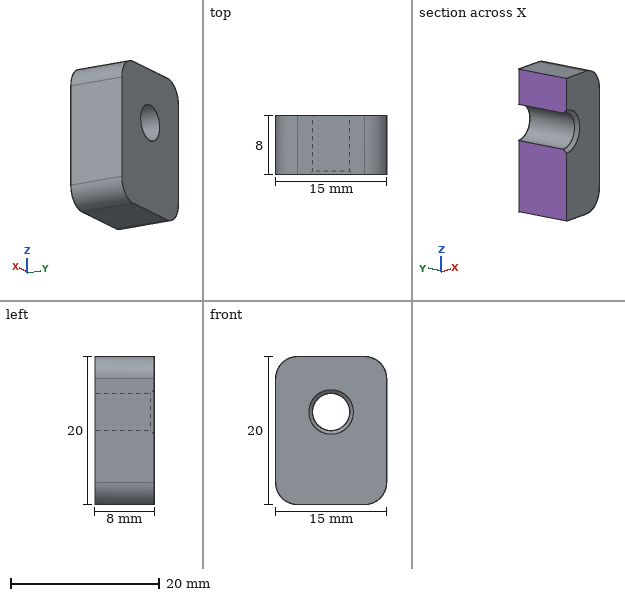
import cadquery as cq

width = 15.0
thickness = 8.0
height = 20.0
corner_radius = 3.0

hole_radius = 2.5
hole_chamfer = 0.5
hole_height = height - width / 2

front_y = -thickness / 2


def make_block():
    """Block with its four Y-direction edges rounded, standing on Z = 0."""
    block = cq.Workplane("XY").box(width, thickness, height, centered=(True, True, False))
    return block.edges("|Y").fillet(corner_radius)


def make_hole():
    """Cutter for the through hole and its front chamfer."""
    hole_start = cq.Vector(0, front_y, hole_height)
    inward = cq.Vector(0, 1, 0)
    bore = cq.Solid.makeCylinder(hole_radius, thickness, hole_start, inward)
    rim = cq.Solid.makeCone(hole_radius + hole_chamfer, hole_radius, hole_chamfer, hole_start, inward)
    return bore.fuse(rim)


result = make_block().cut(cq.Workplane(obj=make_hole()))